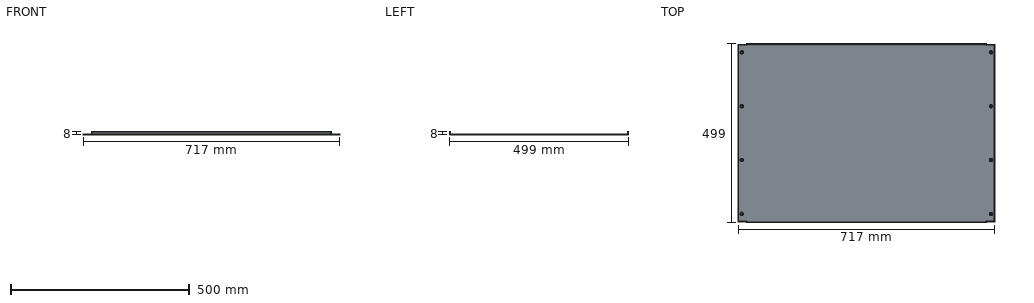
import cadquery as cq

length = 717.0
width = 499.0
height = 8.0
thickness = 1.0

flange_end_inset = 24.0
flange_length = length - 2 * flange_end_inset
bend_inner_radius = 1.0
bend_outer_radius = bend_inner_radius + thickness

hole_diameter = 6.5
hole_edge_distance = 10.0
hole_pitch = 150.5
holes_per_side = 4


def make_sheet():
    """Flat sheet, ending where the bends begin."""
    flat_width = width - 2 * bend_outer_radius
    return cq.Workplane("XY").box(length, flat_width, thickness, centered=(True, True, False))


def make_flanged_channel():
    """Sheet-metal U section with rounded bends, running along X."""
    outer = (
        cq.Workplane("XY")
        .box(flange_length, width, height, centered=(True, True, False))
        .edges("|X and <Z")
        .fillet(bend_outer_radius)
    )
    inner = (
        cq.Workplane("XY")
        .workplane(offset=thickness)
        .box(flange_length, width - 2 * thickness, height, centered=(True, True, False))
        .edges("|X and <Z")
        .fillet(bend_inner_radius)
    )
    return outer.cut(inner)


def make_hole_cutters():
    """Two columns of through holes, one near each short side."""
    column_spacing = length - 2 * hole_edge_distance
    return (
        cq.Workplane("XY")
        .rarray(column_spacing, hole_pitch, 2, holes_per_side)
        .circle(hole_diameter / 2)
        .extrude(thickness)
    )


result = make_sheet().union(make_flanged_channel()).cut(make_hole_cutters())